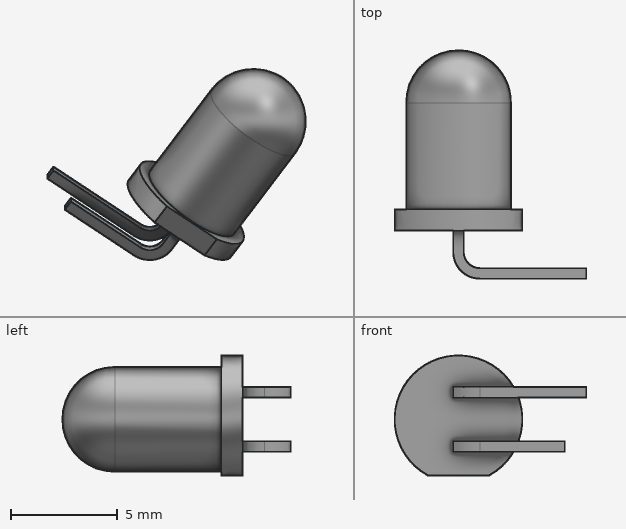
import cadquery as cq

flange_radius = 3.0
flange_thickness = 1.0
flat_distance = 2.64
lens_radius = 2.47
lens_straight_length = 5.0

lead_width = 0.5
lead_spacing = 2.54
bend_inner_radius = 0.75
lead_drop = 2.26
long_lead_end = 6.0
short_lead_end = 5.0

dome_start = flange_thickness + lens_straight_length
dome_tip = dome_start + lens_radius


def make_flange():
    """Disc with a flat cut across its lower rim."""
    disc = cq.Workplane("XZ").circle(flange_radius).extrude(-flange_thickness)
    keep_height = flat_distance + flange_radius
    keep = cq.Workplane("XY").box(
        2 * flange_radius, flange_thickness, keep_height, centered=(True, False, False)
    )
    return disc.intersect(keep.translate((0, 0, -flat_distance)))


def make_lens():
    """Cylinder closed by a hemisphere, revolved about the Y axis."""
    diagonal = lens_radius * 0.5 ** 0.5
    return (
        cq.Workplane("XY")
        .lineTo(lens_radius, 0)
        .lineTo(lens_radius, dome_start)
        .threePointArc((diagonal, dome_start + diagonal), (0, dome_tip))
        .close()
        .revolve(360, (0, 0), (0, 1))
    )


def make_lead(tip_x, center_z):
    """Square wire leaving the flange along -Y and bending toward +X."""
    half = lead_width / 2
    center_radius = bend_inner_radius + half
    run_y = half - lead_drop
    bend_x = center_radius
    bend_y = run_y + center_radius
    diagonal = center_radius * 0.5 ** 0.5
    path = (
        cq.Workplane("XY", origin=(0, 0, center_z))
        .lineTo(0, bend_y)
        .threePointArc((bend_x - diagonal, bend_y - diagonal), (bend_x, run_y))
        .lineTo(tip_x, run_y)
    )
    section = cq.Workplane("XZ", origin=(0, 0, center_z)).rect(lead_width, lead_width)
    return section.sweep(path)


result = (
    make_flange()
    .union(make_lens())
    .union(make_lead(long_lead_end, lead_spacing / 2))
    .union(make_lead(short_lead_end, -lead_spacing / 2))
)